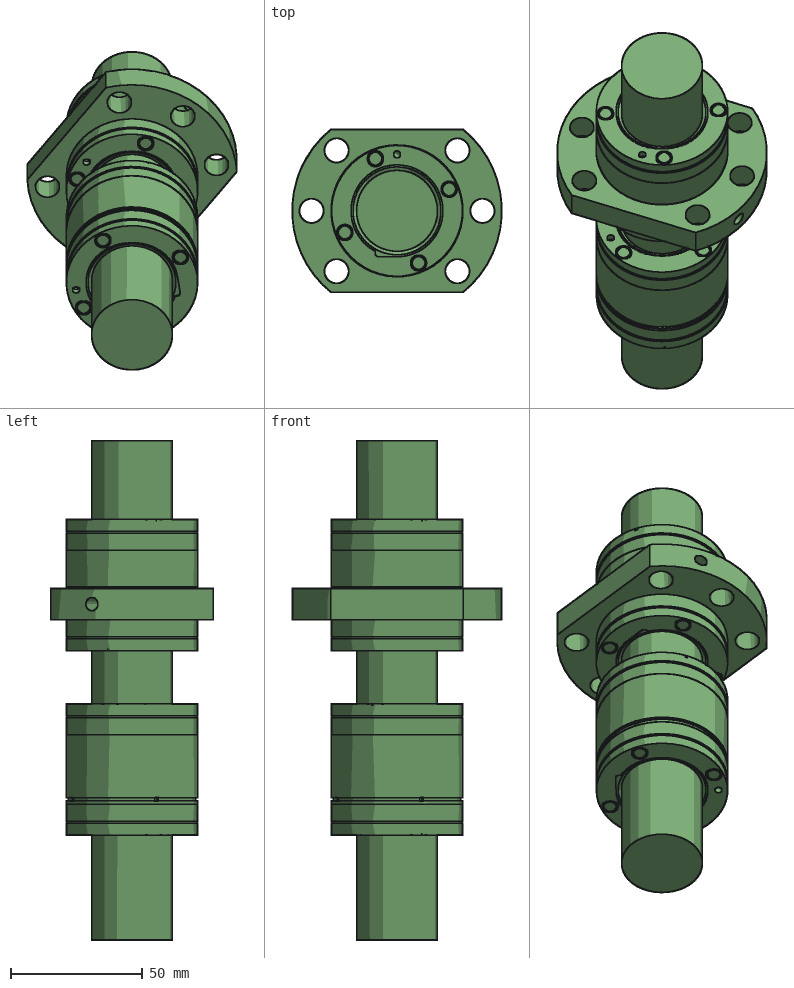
import cadquery as cq
import math

shaft_length = 190.0
shaft_radius = 15.4

nut_length = 50.0
lower_nut_base = 39.9
upper_nut_base = 110.0
body_radius = 25.0
end_step = 0.1
end_radius = body_radius - end_step
end_length = 11.8
upper_nut_turn = 0.0
lower_nut_turn = -45.0

cap_thickness = 4.5
cap_groove_width = 0.8
cap_groove_depth = 0.2

mouth_radius = 17.5
mouth_depth = 0.5
wiper_radius = 16.7
wiper_depth = 0.8
notch_length = 8.4
notch_corner_radius = 1.5

screw_count = 4
screw_first_angle = 22.5
screw_pitch_radius = 21.5
screw_gap_radius = 3.0
screw_head_radius = 2.5
screw_gap_depth = 0.5
pin_hole_angle = 90.0
pin_hole_radius = 1.3
pin_hole_depth = 2.8

ring_groove_offset = 1.3
ring_groove_width = 1.1
ring_groove_depth = 0.8
ring_hole_radius = 0.8
ring_hole_depth = 1.9

flange_radius = 39.9
flange_thickness = 12.0
flange_width = 62.0
flange_base = upper_nut_base + end_length
flange_top = flange_base + flange_thickness
bolt_pitch_radius = 32.5
bolt_hole_radius = 4.5
bolt_angles = (0, 45, 135, 180, 225, 315)

undercut_outer_radius = 26.8
undercut_height = 0.5
undercut_depth = 0.2
undercut_inset = 0.4

oil_port_angle = 157.5
oil_port_radius = 2.5
oil_port_depth = 15.2


def cylinder(radius, height, base=0.0):
    return cq.Workplane("XY").workplane(offset=base).circle(radius).extrude(height)


def ring(outer_radius, inner_radius, height, base=0.0):
    section = cq.Workplane("XY").workplane(offset=base).circle(outer_radius).circle(inner_radius)
    return section.extrude(height)


def polar(radius, angle):
    return (radius * math.cos(math.radians(angle)), radius * math.sin(math.radians(angle)))


def mouth_cut():
    """Shallow counterbore with an exit notch, then a cone that narrows to the shaft."""
    floor = nut_length - mouth_depth
    counterbore = cylinder(mouth_radius, mouth_depth, floor)
    notch = (
        cq.Workplane("XY")
        .workplane(offset=floor)
        .rect(notch_length, mouth_radius, centered=False)
        .extrude(mouth_depth)
        .translate((-notch_length, -mouth_radius, 0))
        .edges("|Z and <X and <Y")
        .fillet(notch_corner_radius)
    )
    cone = (
        cq.Workplane("XZ")
        .moveTo(0, floor)
        .lineTo(wiper_radius, floor)
        .lineTo(shaft_radius, floor - wiper_depth)
        .lineTo(0, floor - wiper_depth)
        .close()
        .revolve(360, (0, 0, 0), (0, 1, 0))
    )
    return counterbore.union(notch).union(cone)


def screw_gap_cut():
    """Thin annular gaps around the flush heads of the cap screws."""
    gaps = cq.Workplane("XY")
    for index in range(screw_count):
        x, y = polar(screw_pitch_radius, screw_first_angle + index * 360 / screw_count)
        gap = ring(screw_gap_radius, screw_head_radius, screw_gap_depth, nut_length - screw_gap_depth)
        gaps = gaps.add(gap.translate((x, y, 0)))
    return gaps.combine()


def pin_hole_cut():
    """Small blind hole with a 90 degree drill point."""
    x, y = polar(screw_pitch_radius, pin_hole_angle)
    return (
        cq.Workplane("XZ")
        .moveTo(0, nut_length)
        .lineTo(pin_hole_radius, nut_length)
        .lineTo(pin_hole_radius, nut_length - pin_hole_depth)
        .lineTo(0, nut_length - pin_hole_depth - pin_hole_radius)
        .close()
        .revolve(360, (0, 0, 0), (0, 1, 0))
        .translate((x, y, 0))
    )


def cap_groove_cut():
    base = nut_length - cap_thickness - cap_groove_width
    return ring(body_radius, end_radius - cap_groove_depth, cap_groove_width, base)


def flipped(shape):
    """The same shape at the other end of the nut, turned about the X direction."""
    return shape.rotate((0, 0, nut_length / 2), (1, 0, nut_length / 2), 180)


def nut_core(base, turn):
    """Bored nut with identical features at both ends, set in place on the shaft."""
    nut = cylinder(end_radius, nut_length)
    nut = nut.union(cylinder(body_radius, nut_length - 2 * end_length, end_length))
    nut = nut.cut(cylinder(shaft_radius, nut_length))
    for cut in (mouth_cut(), screw_gap_cut(), pin_hole_cut(), cap_groove_cut()):
        nut = nut.cut(cut).cut(flipped(cut))
    return nut.rotate((0, 0, 0), (0, 0, 1), turn).translate((0, 0, base))


def make_flange():
    flats = cq.Workplane("XY").box(2 * flange_radius, flange_width, flange_thickness, (True, True, False))
    flange = ring(flange_radius, shaft_radius, flange_thickness)
    flange = flange.intersect(flats)
    bolt_points = [polar(bolt_pitch_radius, angle) for angle in bolt_angles]
    bolt_holes = cq.Workplane("XY").pushPoints(bolt_points).circle(bolt_hole_radius).extrude(flange_thickness)
    return flange.cut(bolt_holes).translate((0, 0, flange_base))


def undercut_cut():
    return (
        cq.Workplane("XZ")
        .moveTo(body_radius, flange_top + undercut_height)
        .lineTo(body_radius - undercut_inset, flange_top - undercut_depth)
        .lineTo(undercut_outer_radius, flange_top)
        .close()
        .revolve(360, (0, 0, 0), (0, 1, 0))
    )


def oil_port_cut():
    return (
        cq.Workplane("YZ")
        .workplane(offset=flange_radius - oil_port_depth)
        .center(0, flange_base + flange_thickness / 2)
        .circle(oil_port_radius)
        .extrude(oil_port_depth)
        .rotate((0, 0, 0), (0, 0, 1), oil_port_angle)
    )


def make_shaft():
    return cylinder(shaft_radius, shaft_length)


def make_flanged_nut():
    nut = nut_core(upper_nut_base, upper_nut_turn).union(make_flange())
    return nut.cut(undercut_cut()).cut(oil_port_cut())


def ring_hole_cut(groove_base):
    """Radial holes in the retaining groove, one beside each screw of the lower end."""
    hole = (
        cq.Workplane("YZ")
        .workplane(offset=body_radius - ring_hole_depth)
        .center(0, groove_base + ring_groove_width / 2)
        .circle(ring_hole_radius)
        .extrude(ring_hole_depth)
    )
    holes = cq.Workplane("XY")
    for index in range(screw_count):
        angle = lower_nut_turn - screw_first_angle + index * 360 / screw_count
        holes = holes.add(hole.rotate((0, 0, 0), (0, 0, 1), angle))
    return holes.combine()


def make_plain_nut():
    groove_base = lower_nut_base + end_length + ring_groove_offset
    groove = ring(body_radius, body_radius - ring_groove_depth, ring_groove_width, groove_base)
    return nut_core(lower_nut_base, lower_nut_turn).cut(groove).cut(ring_hole_cut(groove_base))


shaft = make_shaft()
flanged_nut = make_flanged_nut()
plain_nut = make_plain_nut()

result = cq.Compound.makeCompound([shaft.val(), flanged_nut.val(), plain_nut.val()])